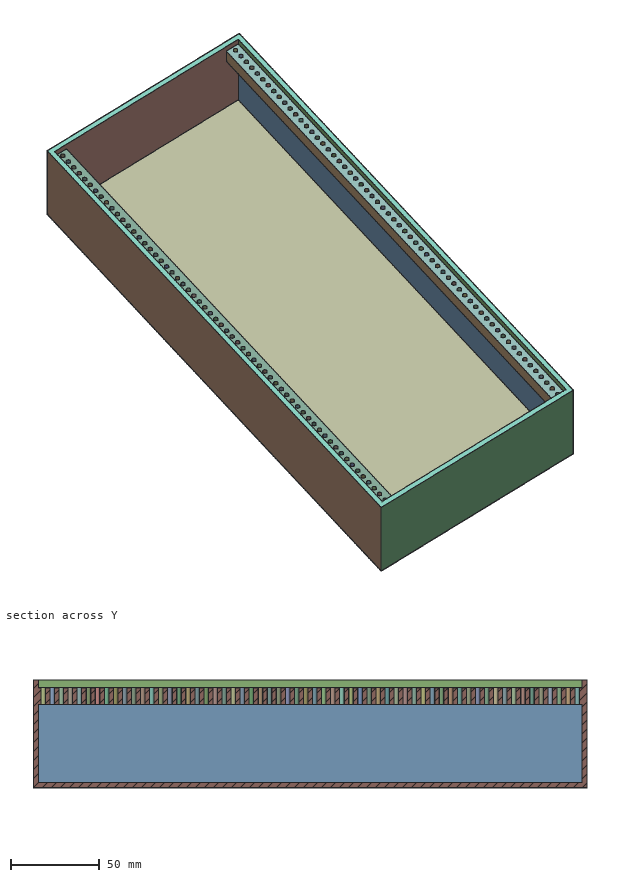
import cadquery as cq


length = 312.5
width = 136.0
height = 61.0
wall = 3.0
floor = 3.0

inner_length = length - 2 * wall
inner_width = width - 2 * wall

rail_width = 8.5
rail_height = 9.7
rail_drop = 4.5
rail_top = height - rail_drop
rail_y = (inner_width - rail_width) / 2

hole_count = 60
hole_pitch = inner_length / hole_count
hole_diameter = 2.5
hole_row_spacing = 122.2


def make_case():
    block = cq.Workplane("XY").box(length, width, height, centered=(True, True, False))
    cavity = (
        cq.Workplane("XY")
        .workplane(offset=floor)
        .rect(inner_length, inner_width)
        .extrude(height - floor)
    )
    return block.cut(cavity)


def make_rails():
    """Two bars, each with a row of holes drilled straight through it."""
    bars = (
        cq.Workplane("XY")
        .workplane(offset=rail_top)
        .pushPoints([(0, -rail_y), (0, rail_y)])
        .rect(inner_length, rail_width)
        .extrude(-rail_height)
    )
    holes = (
        cq.Workplane("XY")
        .workplane(offset=rail_top)
        .rarray(hole_pitch, hole_row_spacing, hole_count, 2)
        .circle(hole_diameter / 2)
        .extrude(-rail_height)
    )
    return bars.cut(holes)


result = make_case().union(make_rails())